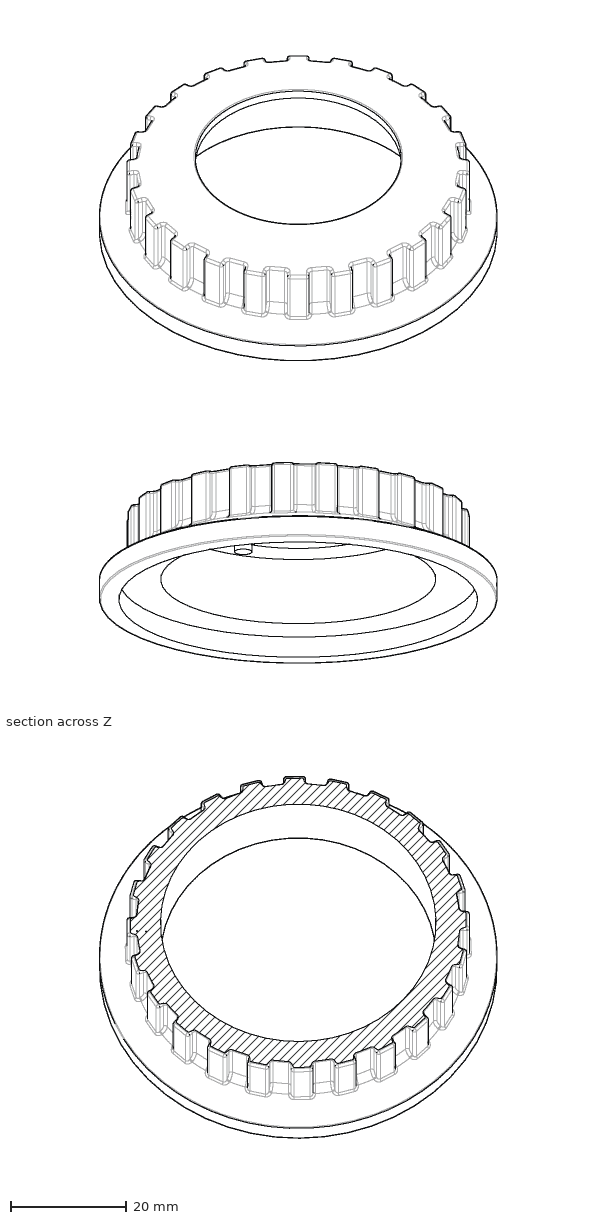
import cadquery as cq
import math

HEIGHT = 17.18
FLANGE_RADIUS = 69 / 2
FLANGE_HEIGHT = 3.65
FLANGE_SLOPE = 25
ROOF_SLOPE = 10

RIM_FILLET = 0.2

BORE_RADIUS = 35.7 / 2
CAVITY_RADIUS = 47.7 / 2
RECESS_RADIUS = 62.2 / 2
LIP_THICKNESS = 1.75
RECESS_DEPTH = 3.7

HUB_RADIUS = 28.1
HUB_FOOT_FILLET = 1.9
TOOTH_COUNT = 24
TOOTH_REACH = 29.7
TOOTH_WIDTH = 3.8
TOOTH_ROOT = 25
TOOTH_FILLET = 0.5

PIN_DIAMETER = 3
PIN_CIRCLE_RADIUS = (CAVITY_RADIUS + RECESS_RADIUS) / 2
PIN_ANGLE = 30
PIN_EMBED = 0.5


RIM_LOSS_RATIO = 1 / math.cos(math.radians(ROOF_SLOPE)) + math.tan(math.radians(ROOF_SLOPE)) - 1
ROOF_PEAK = HEIGHT + RIM_FILLET * RIM_LOSS_RATIO


def roof_height(radius):
    return ROOF_PEAK - (radius - BORE_RADIUS) * math.tan(math.radians(ROOF_SLOPE))


def flange_cone_height(radius):
    return FLANGE_HEIGHT + (FLANGE_RADIUS - radius) * math.tan(math.radians(FLANGE_SLOPE))


HUB_FOOT_TURN = math.radians(90 - FLANGE_SLOPE)
HUB_FOOT_TANGENT = HUB_FOOT_FILLET * math.tan(HUB_FOOT_TURN / 2)
HUB_FOOT_TOP = flange_cone_height(HUB_RADIUS) + HUB_FOOT_TANGENT

TOLERANCE = 0.1
TOOTH_MIDDLE = (HUB_RADIUS + TOOTH_REACH) / 2
FOOT_SEARCH_RADIUS = TOOTH_REACH + 2 * TOOTH_FILLET


def revolve_profile(profile):
    """Turn a closed (radius, height) profile around Z."""
    return profile.close().revolve(360, (0, 0, 0), (0, 1, 0))


def make_body():
    """Solid hub on its conical flange, with the rounded foot of the hub."""
    arc_centre = (HUB_RADIUS + HUB_FOOT_FILLET, HUB_FOOT_TOP)
    arc_end_radius = HUB_RADIUS + HUB_FOOT_TANGENT * math.cos(math.radians(FLANGE_SLOPE))
    arc_end = (arc_end_radius, flange_cone_height(arc_end_radius))
    mid_angle = math.pi + HUB_FOOT_TURN / 2
    arc_middle = (
        arc_centre[0] + HUB_FOOT_FILLET * math.cos(mid_angle),
        arc_centre[1] + HUB_FOOT_FILLET * math.sin(mid_angle),
    )
    return revolve_profile(
        cq.Workplane("XZ")
        .moveTo(0, 0)
        .lineTo(FLANGE_RADIUS, 0)
        .lineTo(FLANGE_RADIUS, FLANGE_HEIGHT)
        .lineTo(*arc_end)
        .threePointArc(arc_middle, (HUB_RADIUS, HUB_FOOT_TOP))
        .lineTo(HUB_RADIUS, ROOF_PEAK)
        .lineTo(0, ROOF_PEAK)
    )


def make_tooth(angle):
    """Flat-faced block reaching out of the hub, left tall until the roof is cut."""
    return (
        cq.Workplane("XY")
        .workplane(offset=RECESS_DEPTH)
        .center((TOOTH_ROOT + TOOTH_REACH) / 2, 0)
        .rect(TOOTH_REACH - TOOTH_ROOT, TOOTH_WIDTH)
        .extrude(ROOF_PEAK - RECESS_DEPTH)
        .rotate((0, 0, 0), (0, 0, 1), angle)
    )


def make_above_roof():
    """Ring of material removed above the roof cone."""
    return revolve_profile(
        cq.Workplane("XZ")
        .moveTo(BORE_RADIUS, ROOF_PEAK)
        .lineTo(FLANGE_RADIUS, roof_height(FLANGE_RADIUS))
        .lineTo(FLANGE_RADIUS, ROOF_PEAK)
    )


def make_cavity():
    """Bore, wider chamber under the lip, and shallow recess in the underside."""
    lip_bottom = HEIGHT - LIP_THICKNESS
    return revolve_profile(
        cq.Workplane("XZ")
        .moveTo(0, 0)
        .lineTo(RECESS_RADIUS, 0)
        .lineTo(RECESS_RADIUS, RECESS_DEPTH)
        .lineTo(CAVITY_RADIUS, RECESS_DEPTH)
        .lineTo(CAVITY_RADIUS, lip_bottom)
        .lineTo(BORE_RADIUS, lip_bottom)
        .lineTo(BORE_RADIUS, roof_height(0))
        .lineTo(0, roof_height(0))
    )


def make_pin():
    return (
        cq.Workplane("XY")
        .polarArray(PIN_CIRCLE_RADIUS, PIN_ANGLE, 360, 1)
        .circle(PIN_DIAMETER / 2)
        .extrude(RECESS_DEPTH + PIN_EMBED)
    )


def edge_radius(edge):
    """Distance from the axis to the middle of an edge."""
    centre = edge.Center()
    return math.hypot(centre.x, centre.y)


def fillet_edges(body, radius, belongs):
    """Round the edges for which belongs(edge) is true."""
    edges = [edge for edge in body.Edges() if belongs(edge)]
    return body.fillet(radius, edges)


def is_circle(edge, radius):
    return edge.geomType() == "CIRCLE" and abs(edge.radius() - radius) < TOLERANCE


def is_flange_rim(edge):
    return is_circle(edge, FLANGE_RADIUS)


def is_bore_top(edge):
    return is_circle(edge, BORE_RADIUS) and edge.Center().z > HEIGHT - TOLERANCE


def is_tooth_corner(edge):
    """Upright outer corners of the teeth."""
    upright = edge.geomType() == "LINE" and abs(edge.tangentAt(0).z) > 1 - TOLERANCE
    return upright and TOOTH_MIDDLE < edge_radius(edge) < TOOTH_REACH + TOOTH_FILLET


def is_tooth_foot(edge):
    """Where the teeth meet the flange cone and the hub foot, but not the smooth circles between them."""
    height = edge.Center().z
    low = flange_cone_height(FOOT_SEARCH_RADIUS) < height < HUB_FOOT_TOP - TOLERANCE
    outside_hub = HUB_RADIUS + TOLERANCE < edge_radius(edge) < FOOT_SEARCH_RADIUS
    return low and outside_hub and edge.geomType() != "CIRCLE"


def is_roof_edge(edge):
    """Toothed outline of the roof."""
    high = edge.Center().z > roof_height(TOOTH_REACH) - TOLERANCE
    return high and edge_radius(edge) > HUB_RADIUS - TOLERANCE


def is_tooth_end(edge):
    return is_tooth_foot(edge) or is_roof_edge(edge)


hub = fillet_edges(make_body().val(), RIM_FILLET, is_flange_rim)
teeth = [make_tooth(index * 360 / TOOTH_COUNT).val() for index in range(TOOTH_COUNT)]
toothed = hub.fuse(*teeth).cut(make_above_roof().val()).Solids()[0]

toothed = fillet_edges(toothed, TOOTH_FILLET, is_tooth_corner)
toothed = fillet_edges(toothed, TOOTH_FILLET, is_tooth_end)

ring = toothed.cut(make_cavity().val()).Solids()[0]
ring = fillet_edges(ring, RIM_FILLET, is_bore_top)
result = cq.Workplane(obj=ring).union(make_pin(), clean=False)